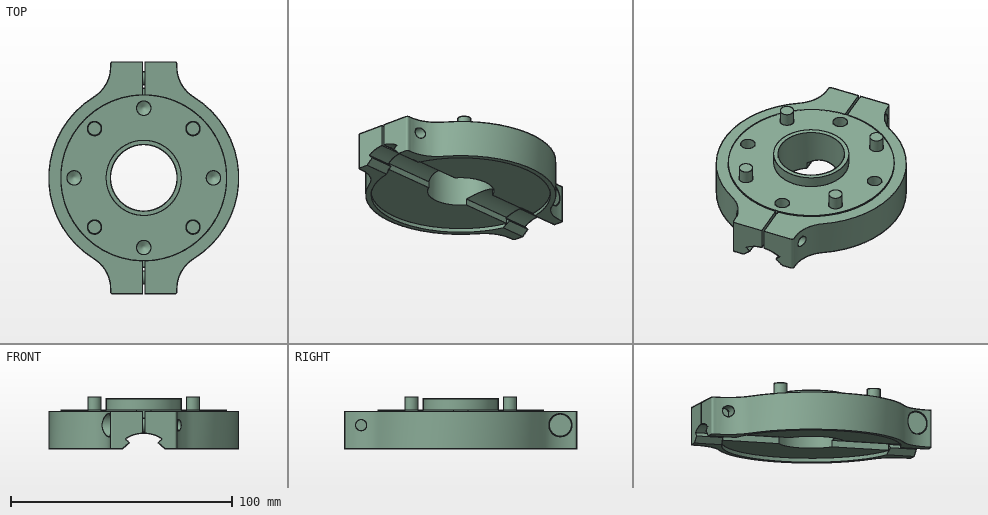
import cadquery as cq
import math

clamp_height = 17.0
ring_diameter = 86.0
ring_radius = ring_diameter / 2
lug_half_width = 15.0
lug_end = 52.5
lug_fillet = 16.0
lug_corner_radius = 1.0
split_gap = 1.0

hub_radius = 37.5
flange_radius = 40.5
hub_bottom = 1.8
flange_top = 14.0
hub_top = 17.5
collar_radius = 17.0
collar_top = 22.7
bore_radius = 15.0
running_clearance = 0.1

bolt_circle_radius = 31.5
hole_diameter = 6.5
hole_depth = 7.4
drill_point_angle = 118.0
drilled_hole_angle = 0
pin_angle = 45
pin_diameter = 6.0
pin_top = 23.5

channel_top = 7.0
channel_radius = 15.0
tooth_half_gap = 6.5
tooth_height = 2.7
flare_half_width = 9.7
hub_channel_half_width = 8.0

screw_y = 45.0
screw_z = 10.7
shank_diameter = 6.0
head_diameter = 10.0
head_length = 6.0
counterbore_diameter = 10.5
pilot_diameter = 5.0
head_face = lug_half_width
head_seat = head_face - head_length
shank_end = -head_seat


def disc(radius, bottom, top):
    """Upright cylinder on the Z axis."""
    return cq.Workplane("XY").workplane(offset=bottom).circle(radius).extrude(top - bottom)


def rod_x(diameter, start, end):
    """Cylinder parallel to X on the axis of the screw in the +Y lugs."""
    return (
        cq.Workplane("YZ", origin=(start, 0, 0))
        .center(screw_y, screw_z)
        .circle(diameter / 2)
        .extrude(end - start)
    )


def both_lugs(shape):
    """The shape in the +Y lugs and its copy turned half a turn into the -Y lugs."""
    return [shape, shape.rotate((0, 0, 0), (0, 0, 1), 180)]


def lug():
    """Block from the ring axis to +Y with concave blends that are tangent to the ring."""
    blend_x = lug_half_width + lug_fillet
    blend_distance = ring_radius + lug_fillet
    blend_y = math.sqrt(blend_distance**2 - blend_x**2)
    ring_share = ring_radius / blend_distance
    tangent_x = blend_x * ring_share
    tangent_y = blend_y * ring_share
    return (
        cq.Workplane("XY")
        .moveTo(0, 0)
        .lineTo(tangent_x, tangent_y)
        .radiusArc((lug_half_width, blend_y), lug_fillet)
        .lineTo(lug_half_width, lug_end)
        .lineTo(-lug_half_width, lug_end)
        .lineTo(-lug_half_width, blend_y)
        .radiusArc((-tangent_x, tangent_y), lug_fillet)
        .close()
        .extrude(clamp_height)
        .edges("|Z and >Y")
        .fillet(lug_corner_radius)
    )


def channel_roof():
    """Cylinder along Y that forms the curved roof of the rail channel."""
    roof_axis_z = channel_top - channel_radius
    return (
        cq.Workplane("XZ", origin=(0, lug_end, 0))
        .center(0, roof_axis_z)
        .circle(channel_radius)
        .extrude(2 * lug_end)
    )


def clamp_channel():
    """Channel with a curved roof above a pair of pointed teeth."""
    upper_half_width = tooth_half_gap + channel_top - tooth_height
    envelope = (
        cq.Workplane("XZ", origin=(0, lug_end, 0))
        .polyline([
            (-flare_half_width, 0),
            (flare_half_width, 0),
            (tooth_half_gap, tooth_height),
            (upper_half_width, channel_top),
            (-upper_half_width, channel_top),
            (-tooth_half_gap, tooth_height),
        ])
        .close()
        .extrude(2 * lug_end)
    )
    return envelope.intersect(channel_roof())


def hub_channel():
    """Channel with upright walls under the same curved roof."""
    walls = cq.Workplane("XY").box(2 * hub_channel_half_width, 2 * lug_end, 2 * hub_top)
    return walls.intersect(channel_roof())


def make_clamp_halves():
    """Ring with two lugs, split along the YZ plane into two halves."""
    clamp = disc(ring_radius, 0, clamp_height)
    for one_lug in both_lugs(lug()):
        clamp = clamp.union(one_lug)
    clamp = clamp.cut(disc(flange_radius, 0, flange_top))
    clamp = clamp.cut(disc(hub_radius + running_clearance, flange_top, clamp_height))
    clamp = clamp.cut(clamp_channel())

    screw_hole = (
        rod_x(shank_diameter, shank_end, head_seat)
        .union(rod_x(counterbore_diameter, head_seat, ring_radius))
        .union(rod_x(pilot_diameter, -ring_radius, shank_end))
    )
    for one_hole in both_lugs(screw_hole):
        clamp = clamp.cut(one_hole)

    clamp = clamp.cut(cq.Workplane("XY").box(split_gap, 2 * lug_end, 2 * clamp_height))
    return clamp.solids()


def around_bolt_circle(shape, start_angle):
    """Four copies of a shape on the bolt circle, a quarter turn apart."""
    placed = shape.translate((bolt_circle_radius, 0, 0))
    angles = [start_angle + 90 * quarter for quarter in range(4)]
    return [placed.rotate((0, 0, 0), (0, 0, 1), angle) for angle in angles]


def make_hub():
    """Flanged hub with collar, bore, rail channel, four drilled holes and four pin holes."""
    hub = disc(flange_radius, hub_bottom, flange_top)
    hub = hub.union(disc(hub_radius, flange_top, hub_top))
    hub = hub.union(disc(collar_radius, hub_top, collar_top))
    hub = hub.cut(disc(bore_radius, hub_bottom, collar_top))
    hub = hub.cut(hub_channel())

    hole_radius = hole_diameter / 2
    hole_floor = hub_top - hole_depth
    pin_hole = disc(hole_radius, hole_floor, hub_top)
    point_depth = hole_radius / math.tan(math.radians(drill_point_angle / 2))
    drilled_hole = (
        cq.Workplane("XZ")
        .polyline([
            (0, hub_top),
            (hole_radius, hub_top),
            (hole_radius, hole_floor),
            (0, hole_floor - point_depth),
        ])
        .close()
        .revolve(360, (0, 0, 0), (0, 1, 0))
    )
    holes = around_bolt_circle(drilled_hole, drilled_hole_angle)
    holes += around_bolt_circle(pin_hole, pin_angle)
    for hole in holes:
        hub = hub.cut(hole)
    return hub


def make_pins():
    """Four upright pins that stand on the floors of the pin holes."""
    pin = disc(pin_diameter / 2, hub_top - hole_depth, pin_top)
    return around_bolt_circle(pin, pin_angle)


def make_screws():
    """Two cap screws pointing in opposite directions, one through each pair of lugs."""
    head = rod_x(head_diameter, head_seat, head_face)
    screw = rod_x(shank_diameter, shank_end, head_seat).union(head)
    return both_lugs(screw)


clamp_halves = make_clamp_halves()
hub = make_hub()
pins = make_pins()
screws = make_screws()

result = cq.Compound.makeCompound([
    *clamp_halves.vals(),
    hub.val(),
    *[pin.val() for pin in pins],
    *[screw.val() for screw in screws],
])